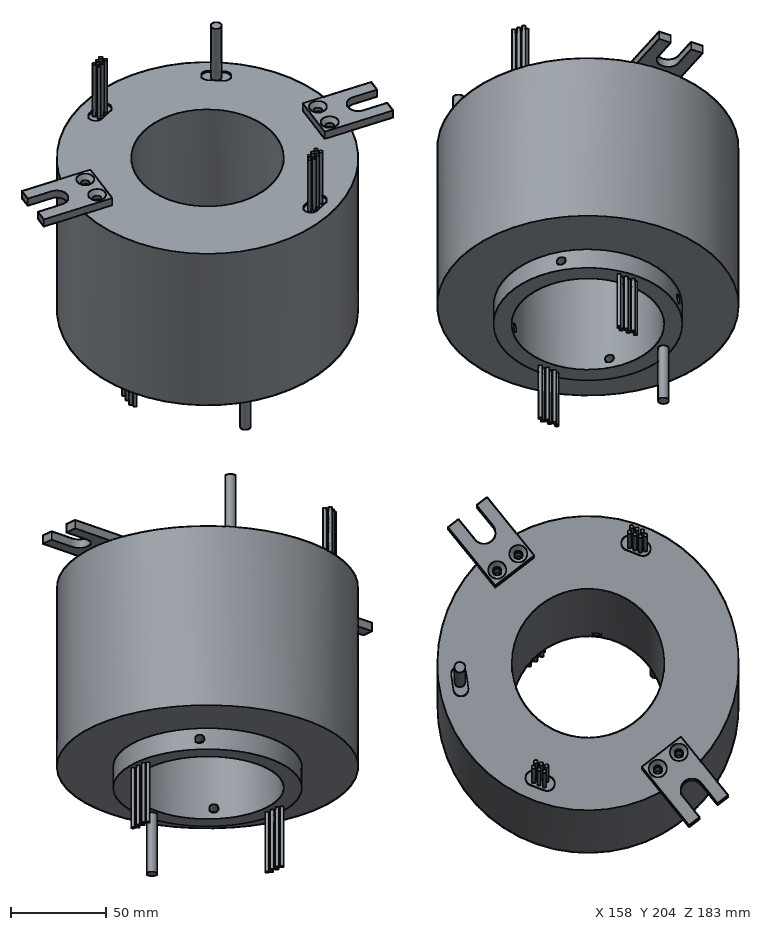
import cadquery as cq
import math


drum_diameter = 158.0
drum_height = 103.0
bore_diameter = 80.0
collar_diameter = 99.0
collar_height = 12.0
set_screw_diameter = 4.9
set_screw_count = 4

bracket_span = 204
bracket_tip_y = bracket_span / 2
bracket_length = 40.0
bracket_width = 26.1
bracket_thickness = 4.9
fork_width = 12.0
fork_depth = 20.0
screw_spacing = 14.0
screw_inset = 6.0
screw_y = bracket_tip_y - bracket_length + screw_inset
screw_hole_diameter = 4.5
screw_head_diameter = 9.4
countersink_angle = 90
tapped_hole_diameter = 3.7
tapped_hole_depth = 10.0
drill_point_angle = 118

lead_length = 34.0
wire_diameter = 2.0
cable_diameter = 5.7

outlet_radius = 68.0
outlet_angle = 30
outlet_length = 16.0
outlet_width = 8.0
outlet_depth = 1.0
upper_wire_pitch = 3.0
extra_wire_offset = 5.3

lower_lead_radius = 45.0
lower_wire_count = 6
lower_row_length = 12.6
lower_wire_pitch = lower_row_length / lower_wire_count
lower_row_offset = 0.71


def drum_and_collar():
    drum = cq.Workplane("XY").circle(drum_diameter / 2).extrude(drum_height)
    collar = cq.Workplane("XY").circle(collar_diameter / 2).extrude(-collar_height)
    bore = (
        cq.Workplane("XY", origin=(0, 0, -collar_height))
        .circle(bore_diameter / 2)
        .extrude(collar_height + drum_height)
    )
    return drum.union(collar).cut(bore)


def set_screw_hole(angle):
    """Radial hole from the bore out through the collar wall."""
    return (
        cq.Workplane("YZ", origin=(0, 0, -collar_height / 2))
        .circle(set_screw_diameter / 2)
        .extrude(collar_diameter)
        .rotate((0, 0, 0), (0, 0, 1), angle)
    )


def bracket():
    """Fork bracket on the +Y side, open end outward, with two countersunk holes."""
    plate = (
        cq.Workplane("XY", origin=(0, bracket_tip_y - bracket_length / 2, drum_height))
        .rect(bracket_width, bracket_length)
        .extrude(bracket_thickness)
    )
    fork_end_y = bracket_tip_y - fork_depth + fork_width / 2
    fork = (
        cq.Workplane("XY", origin=(0, 0, drum_height))
        .moveTo(-fork_width / 2, bracket_tip_y)
        .lineTo(-fork_width / 2, fork_end_y)
        .threePointArc((0, bracket_tip_y - fork_depth), (fork_width / 2, fork_end_y))
        .lineTo(fork_width / 2, bracket_tip_y)
        .close()
        .extrude(bracket_thickness)
    )
    return (
        plate.cut(fork)
        .faces(">Z")
        .workplane(origin=(0, screw_y, 0))
        .pushPoints([(-screw_spacing / 2, 0), (screw_spacing / 2, 0)])
        .cskHole(screw_hole_diameter, screw_head_diameter, countersink_angle)
    )


def tapped_hole(x, y):
    """Blind drilled hole in the drum under a bracket screw, with a conical bottom."""
    radius = tapped_hole_diameter / 2
    point_length = radius / math.tan(math.radians(drill_point_angle / 2))
    return (
        cq.Workplane("XZ", origin=(x, y, drum_height))
        .polyline(
            [
                (0, 0),
                (radius, 0),
                (radius, -tapped_hole_depth),
                (0, -tapped_hole_depth - point_length),
            ]
        )
        .close()
        .revolve(360, (0, 0), (0, 1))
    )


def outlet_plane(angle, z):
    """Plane at an outlet: local X runs clockwise along the rim, local Y points outward."""
    radians = math.radians(angle)
    radial = (math.cos(radians), math.sin(radians))
    return cq.Plane(
        origin=(outlet_radius * radial[0], outlet_radius * radial[1], z),
        xDir=(radial[1], -radial[0], 0),
        normal=(0, 0, 1),
    )


def outlet_pocket(angle):
    return (
        cq.Workplane(outlet_plane(angle, drum_height))
        .slot2D(outlet_length, outlet_width)
        .extrude(-outlet_depth)
    )


def upper_leads(angle, points, diameter):
    """Leads rising from the floor of the outlet pocket."""
    return (
        cq.Workplane(outlet_plane(angle, drum_height - outlet_depth))
        .pushPoints(points)
        .circle(diameter / 2)
        .extrude(outlet_depth + lead_length)
    )


def lower_leads(points, diameter):
    """Leads hanging from the collar's lower face."""
    return (
        cq.Workplane("XY", origin=(0, 0, -collar_height))
        .pushPoints(points)
        .circle(diameter / 2)
        .extrude(-lead_length)
    )


result = drum_and_collar()

set_screw_step = 360 / set_screw_count
for index in range(set_screw_count):
    result = result.cut(set_screw_hole((index + 0.5) * set_screw_step))

for x in (-screw_spacing / 2, screw_spacing / 2):
    for y in (-screw_y, screw_y):
        result = result.cut(tapped_hole(x, y))
rear_bracket = bracket()
result = result.union(rear_bracket)
result = result.union(rear_bracket.rotate((0, 0, 0), (0, 0, 1), 180))

rear_outlet = outlet_angle
front_outlet = 180 + outlet_angle
cable_outlet = 180 - outlet_angle
for angle in (rear_outlet, front_outlet, cable_outlet):
    result = result.cut(outlet_pocket(angle))

wire_grid = [
    (column * upper_wire_pitch, row * upper_wire_pitch / 2)
    for column in (-1, 0, 1)
    for row in (-1, 1)
]
extra_wire = (extra_wire_offset, 0)
result = result.union(upper_leads(front_outlet, wire_grid, wire_diameter))
result = result.union(upper_leads(rear_outlet, wire_grid + [extra_wire], wire_diameter))
result = result.union(upper_leads(cable_outlet, [(0, 0)], cable_diameter))

front_wires = []
for index in range(lower_wire_count):
    x = (index - lower_wire_count / 2) * lower_wire_pitch
    outward = lower_row_offset if index % 2 == 0 else -lower_row_offset
    front_wires.append((x, -lower_lead_radius - outward))
rear_wires = [(-x, -y) for x, y in front_wires]
result = result.union(lower_leads(front_wires + rear_wires, wire_diameter))
result = result.union(lower_leads([(lower_lead_radius, 0)], cable_diameter))